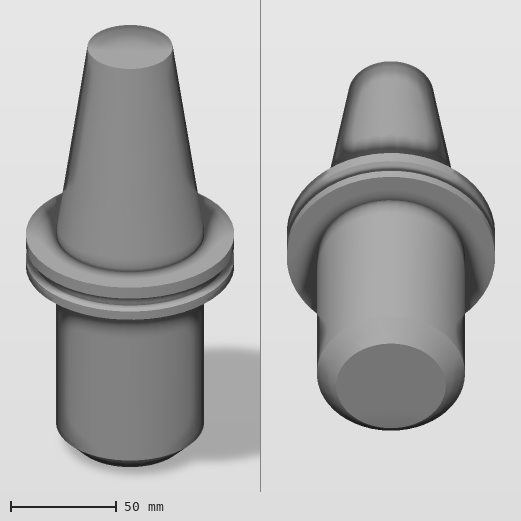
import cadquery as cq

total_height = 216.0
body_radius = 35.0
nose_chamfer = 9.0

taper_length = 101.7
taper_ratio = 7 / 24
gauge_z = total_height - taper_length
taper_tip_radius = body_radius - taper_length * taper_ratio / 2

flange_radius = 49.2
flange_bottom_z = 95.2
flange_top_z = 113.0
groove_floor_radius = 45.8
groove_bottom_z = 99.7
groove_floor_bottom_z = 101.0
groove_floor_top_z = 105.0
groove_top_z = 106.9


def make_holder():
    """Shank, flange blank and taper, revolved as one half profile."""
    profile = [
        (0, 0),
        (body_radius - nose_chamfer, 0),
        (body_radius, nose_chamfer),
        (body_radius, flange_bottom_z),
        (flange_radius, flange_bottom_z),
        (flange_radius, flange_top_z),
        (body_radius, flange_top_z),
        (body_radius, gauge_z),
        (taper_tip_radius, total_height),
        (0, total_height),
    ]
    return cq.Workplane("XZ").polyline(profile).close().revolve(360, (0, 0), (0, 1))


def make_groove():
    """Ring with sloped walls that is cut from the flange rim."""
    profile = [
        (flange_radius, groove_bottom_z),
        (groove_floor_radius, groove_floor_bottom_z),
        (groove_floor_radius, groove_floor_top_z),
        (flange_radius, groove_top_z),
    ]
    return cq.Workplane("XZ").polyline(profile).close().revolve(360, (0, 0), (0, 1))


result = make_holder().cut(make_groove())